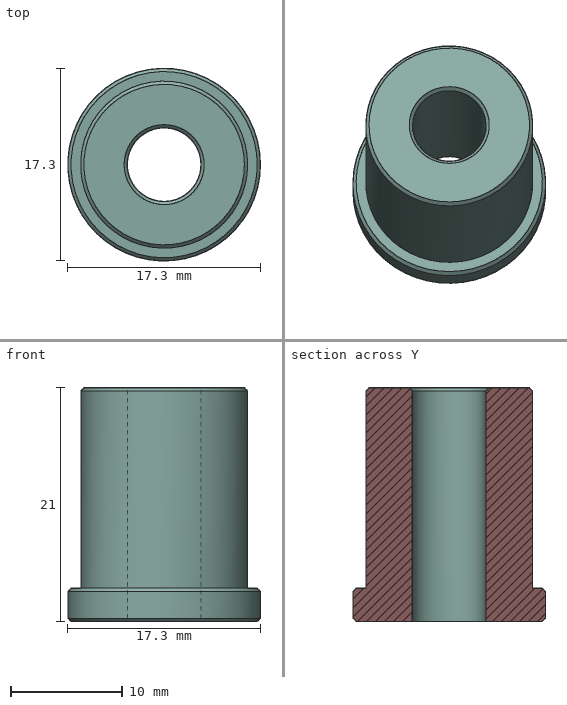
import cadquery as cq

total_height = 21.0
flange_diameter = 17.3
flange_height = 3.0
body_diameter = 15.0
bore_diameter = 6.6
edge_chamfer = 0.3


def chamfered_flange():
    """Flange disc with both rims chamfered."""
    disc = cq.Workplane("XY").circle(flange_diameter / 2).extrude(flange_height)
    return disc.edges().chamfer(edge_chamfer)


def chamfered_body():
    """Full-height cylinder with its top rim chamfered."""
    cylinder = cq.Workplane("XY").circle(body_diameter / 2).extrude(total_height)
    return cylinder.faces(">Z").edges().chamfer(edge_chamfer)


def bore_cutter():
    """Through bore with a lead-in chamfer at the top."""
    bore_radius = bore_diameter / 2
    mouth_radius = bore_radius + edge_chamfer
    half_profile = (
        cq.Workplane("XZ")
        .lineTo(bore_radius, 0)
        .lineTo(bore_radius, total_height - edge_chamfer)
        .lineTo(mouth_radius, total_height)
        .lineTo(0, total_height)
        .close()
    )
    return half_profile.revolve(360, (0, 0, 0), (0, 1, 0))


result = chamfered_flange().union(chamfered_body()).cut(bore_cutter())